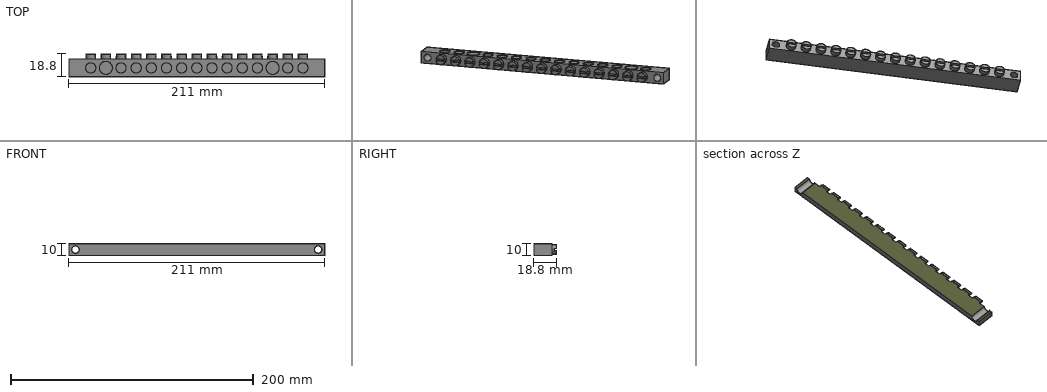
import cadquery as cq

LENGTH = 211.0
DEPTH = 15.0
HEIGHT = 10.0

MOUNT_HOLE_DIAMETER = 6.0
MOUNT_HOLE_SPACING = 200.0

TERMINAL_COUNT = 15
TERMINAL_SPAN = 175.0
TERMINAL_PITCH = TERMINAL_SPAN / (TERMINAL_COUNT - 1)

RECESS_DIAMETER = 8.5
LARGE_RECESS_DIAMETER = 10.8
LARGE_RECESS_TERMINALS = (1, 12)
RECESS_DEPTH = 0.5

HEAD_DIAMETER = 8.0
HEAD_HEIGHT = 3.8
SLOT_WIDTH = 1.7
SLOT_DEPTH = 2.0


def make_bar():
    """Plain bar with its two mounting holes."""
    mount_holes = (
        cq.Workplane("XZ")
        .rarray(MOUNT_HOLE_SPACING, 2.1, 2, 1)
        .circle(MOUNT_HOLE_DIAMETER / 2)
        .extrude(DEPTH / 2, both=True)
    )
    return cq.Workplane("XY").box(LENGTH, DEPTH, HEIGHT).cut(mount_holes)


def make_recess(x, diameter):
    """Cutter for a flat-bottomed recess in the top face."""
    return cq.Workplane("XY", origin=(x, 0, HEIGHT / 2)).circle(diameter / 2).extrude(-RECESS_DEPTH)


def make_screw_head(x):
    """Round head pointing to +Y, with a driver slot along X."""
    head = cq.Workplane("XZ", origin=(x, DEPTH / 2, 0)).circle(HEAD_DIAMETER / 2).extrude(-HEAD_HEIGHT)
    slot_center_y = DEPTH / 2 + HEAD_HEIGHT - SLOT_DEPTH / 2
    slot = cq.Workplane("XY").box(HEAD_DIAMETER, SLOT_DEPTH, SLOT_WIDTH)
    return head.cut(slot.translate((x, slot_center_y, 0)))


result = make_bar()
for terminal in range(TERMINAL_COUNT):
    terminal_x = terminal * TERMINAL_PITCH - TERMINAL_SPAN / 2
    is_large = terminal in LARGE_RECESS_TERMINALS
    recess_diameter = LARGE_RECESS_DIAMETER if is_large else RECESS_DIAMETER
    result = result.cut(make_recess(terminal_x, recess_diameter))
    result = result.union(make_screw_head(terminal_x))